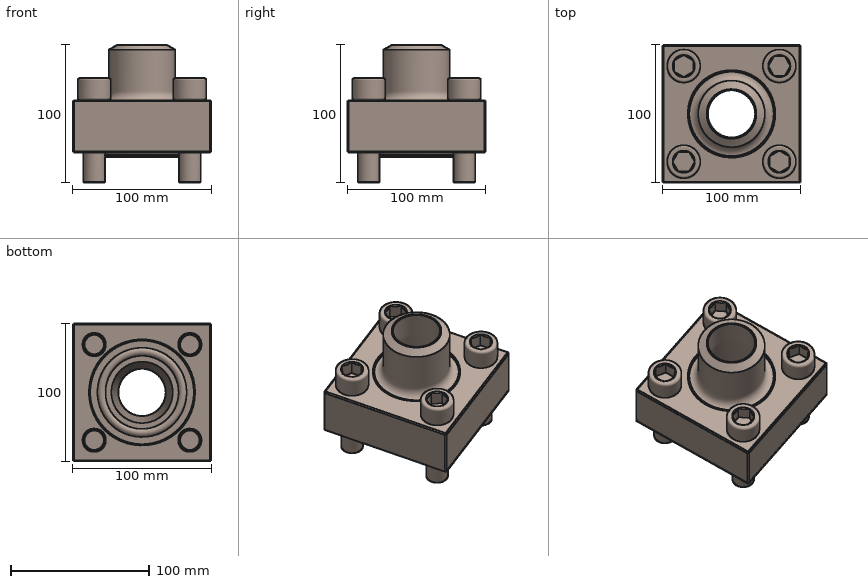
import cadquery as cq
import math

flange_side = 100.0
flange_height = 38.0
flange_chamfer = 1.0
neck_hole_diameter = 61.5
neck_hole_chamfer = 1.0
collar_recess_diameter = 77.0

pipe_diameter = 48.3
pipe_top = 40.0
pipe_bore = 34.1
weld_land = 1.0
weld_bevel_angle = 30.0
neck_diameter = 61.0
collar_diameter = 76.0
collar_height = 20.0
collar_chamfer = 0.5
collar_protrusion = 2.0
bore_taper_top = 20.0
bore_mouth_diameter = 44.5

ring_inner_diameter = 53.0
ring_outer_diameter = 64.73
ring_protrusion = 1.35

bolt_circle_diameter = 98.0
screw_diameter = 16.0
screw_length = 60.0
screw_tip_chamfer = 1.0
screw_hole_diameter = 17.0
head_diameter = 24.0
head_height = screw_diameter
head_fillet = 1.6
socket_across_flats = 14.0
socket_depth = 11.0
socket_cone_angle = 45.0

flange_bottom = -flange_height
gland_bottom = flange_bottom - collar_protrusion
collar_top = gland_bottom + collar_height
collar_recess_depth = collar_top - flange_bottom
neck_fillet = (neck_diameter - pipe_diameter) / 2
ring_thickness = (ring_outer_diameter - ring_inner_diameter) / 2
ring_center_radius = (ring_outer_diameter + ring_inner_diameter) / 4
ring_center_z = gland_bottom - ring_protrusion + ring_thickness / 2
ring_groove_depth = ring_thickness - ring_protrusion
half_spacing = bolt_circle_diameter / 2 / math.sqrt(2)
bolt_positions = [
    (half_spacing, half_spacing),
    (-half_spacing, half_spacing),
    (-half_spacing, -half_spacing),
    (half_spacing, -half_spacing),
]


def make_flange():
    """Square block with chamfered edges, a stepped centre hole and four screw holes."""
    block = (
        cq.Workplane("XY")
        .workplane(offset=flange_bottom)
        .rect(flange_side, flange_side)
        .extrude(flange_height)
        .edges()
        .chamfer(flange_chamfer)
    )
    neck_hole = (
        cq.Workplane("XY")
        .workplane(offset=flange_bottom)
        .circle(neck_hole_diameter / 2)
        .extrude(flange_height)
    )
    collar_recess = (
        cq.Workplane("XY")
        .workplane(offset=flange_bottom)
        .circle(collar_recess_diameter / 2)
        .extrude(collar_recess_depth)
    )
    hole_rim = cq.Workplane("XY").add(
        cq.Solid.makeCone(
            neck_hole_diameter / 2,
            neck_hole_diameter / 2 + neck_hole_chamfer,
            neck_hole_chamfer,
            pnt=cq.Vector(0, 0, -neck_hole_chamfer),
        )
    )
    screw_holes = (
        cq.Workplane("XY")
        .workplane(offset=flange_bottom)
        .pushPoints(bolt_positions)
        .circle(screw_hole_diameter / 2)
        .extrude(flange_height)
    )
    return block.cut(neck_hole).cut(collar_recess).cut(hole_rim).cut(screw_holes)


def make_gland():
    """Turned pipe stub with weld bevel, filleted neck, wide collar and tapered bore."""
    pipe_radius = pipe_diameter / 2
    neck_radius = neck_diameter / 2
    collar_radius = collar_diameter / 2
    bore_radius = pipe_bore / 2
    land_radius = bore_radius + weld_land
    bevel_height = (pipe_radius - land_radius) * math.tan(math.radians(weld_bevel_angle))
    arc_offset = neck_fillet * (1 - math.sqrt(0.5))
    body = (
        cq.Workplane("XZ")
        .moveTo(bore_radius, pipe_top)
        .lineTo(land_radius, pipe_top)
        .lineTo(pipe_radius, pipe_top - bevel_height)
        .lineTo(pipe_radius, neck_fillet)
        .threePointArc((pipe_radius + arc_offset, arc_offset), (neck_radius, 0))
        .lineTo(neck_radius, collar_top)
        .lineTo(collar_radius, collar_top)
        .lineTo(collar_radius, gland_bottom + collar_chamfer)
        .lineTo(collar_radius - collar_chamfer, gland_bottom)
        .lineTo(bore_mouth_diameter / 2, gland_bottom)
        .lineTo(bore_radius, bore_taper_top)
        .close()
        .revolve(360, (0, 0, 0), (0, 1, 0))
    )
    ring_groove = (
        cq.Workplane("XY")
        .workplane(offset=gland_bottom)
        .circle(ring_outer_diameter / 2)
        .circle(ring_inner_diameter / 2)
        .extrude(ring_groove_depth)
    )
    return body.cut(ring_groove)


def make_seal_ring():
    """Round-section ring seated on the floor of the gland's groove."""
    return (
        cq.Workplane("XZ")
        .center(ring_center_radius, ring_center_z)
        .circle(ring_thickness / 2)
        .revolve(360, (-ring_center_radius, 0, 0), (-ring_center_radius, 1, 0))
    )


def make_screw():
    """Cap screw on the Z axis, its head seated at Z = 0 and two socket corners along X."""
    head = (
        cq.Workplane("XY")
        .circle(head_diameter / 2)
        .extrude(head_height)
        .edges()
        .fillet(head_fillet)
    )
    shank = (
        cq.Workplane("XY")
        .circle(screw_diameter / 2)
        .extrude(-screw_length)
        .faces("<Z")
        .chamfer(screw_tip_chamfer)
    )
    socket_across_corners = socket_across_flats / math.cos(math.pi / 6)
    socket = (
        cq.Workplane("XY")
        .workplane(offset=head_height - socket_depth)
        .polygon(6, socket_across_corners)
        .extrude(socket_depth)
    )
    cone_radius = socket_across_corners / 2
    cone_depth = cone_radius * math.tan(math.radians(socket_cone_angle))
    lead_in = cq.Workplane("XY").add(
        cq.Solid.makeCone(0, cone_radius, cone_depth, pnt=cq.Vector(0, 0, head_height - cone_depth))
    )
    return head.union(shank).cut(socket).cut(lead_in)


flange = make_flange()
gland = make_gland()
seal_ring = make_seal_ring()

screw = make_screw()
screws = []
for index, (x, y) in enumerate(bolt_positions):
    turned_screw = screw.rotate((0, 0, 0), (0, 0, 1), 90 * index)
    screws.append(turned_screw.translate((x, y, 0)).val())

result = cq.Compound.makeCompound([flange.val(), gland.val(), seal_ring.val(), *screws])